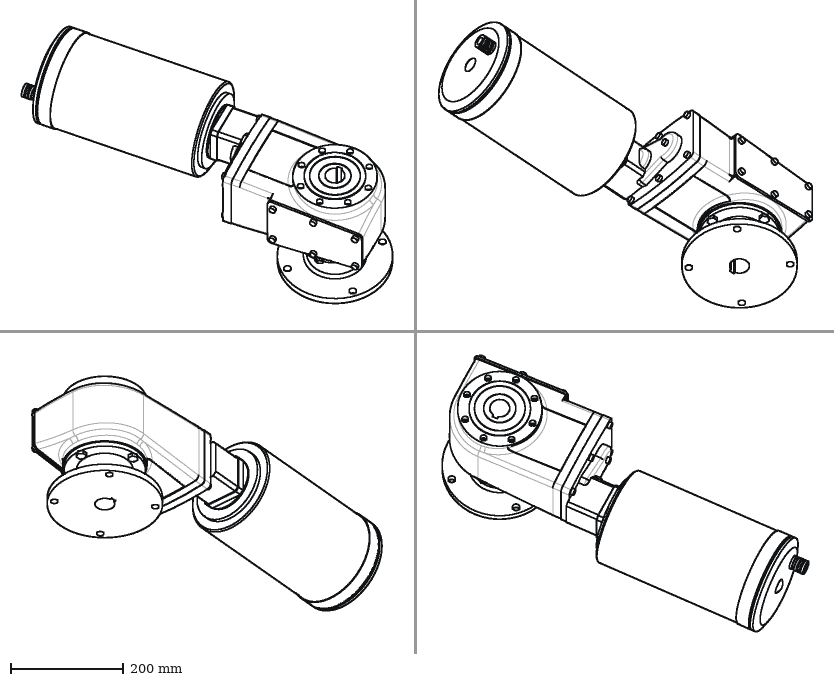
import cadquery as cq
import math

TOLERANCE = 1.0
CLEARANCE = 7.0


TOTAL_LENGTH = 717.0
FLANGE_D = 206.0

MOTOR_Y = 67.5
CAP_D = 182.0
BODY_D = 179.0
END_FACE_D = 150.5
CAP_X0 = -587.0
CAP_BEVEL = 6.5
CAP_X1 = -547.0
BODY_X1 = -267.5
GROOVE_X = -575.0
GROOVE_WIDTH = 3.0
GROOVE_DEPTH = 2.0
FRONT_BEVEL = 3.0
FRONT_RING_D = 140.5
FRONT_RING_X1 = -259.5
COLLAR_D = 100.5
COLLAR_X1 = -257.0

DOME_D = 27.0
DOME_HEIGHT = 6.0
CONNECTOR_Y = 13.0
CONNECTOR_TIP_X = FLANGE_D / 2 - TOTAL_LENGTH
CONNECTOR_D = 25.0
CONNECTOR_NECK_D = 19.5
CONNECTOR_NECK_LENGTH = 4.0
CONNECTOR_BASE_LENGTH = 4.0
CONNECTOR_SOCKET_D = 14.0
CONNECTOR_SOCKET_DEPTH = 7.0
CONNECTOR_GROOVE_WIDTH = 2.0
CONNECTOR_GROOVE_DEPTH = 1.5

ADAPTER_SIDE = 74.5
ADAPTER_CHAMFER = 6.5
ADAPTER_FLANGE_SIDE = 78.0
ADAPTER_FLANGE_X1 = -244.5

DROP_X0 = -200.0
DROP_BIG_R = 44.5
DROP_BIG_Y = 31.5
DROP_SMALL_R = 29.0
DROP_SMALL_Y = -20.0
DROP_ROUND = 6.0
BOSS_D = 50.0
BOSS_Y = 39.5
BOSS_LENGTH = 13.5
BOSS_ROUND = 7.0
DROP_SCREW_Y = -26.0

HOUSING_X0 = -183.5
HOUSING_SIDE_Y = 92.0
HOUSING_ROUND_R = 89.5
HOUSING_X1 = 92.0
HOUSING_Y0 = -78.0
FOOT_X0 = -89.0
FOOT_Y0 = -86.0
FOOT_COVE_R = 7.0
FOOT_COVE_Z = 49.0
RIDGE_Y = 8.5
RIDGE_Z = 65.0
LID_X1 = -167.0
LID_MARGIN = 1.0
PLATE_X1 = -150.5
TOP_SLOPE = 3.7
CROWN_EDGE_Z = 56.0
CROWN_HALF_WIDTH = 100.5
HOUSING_EDGE_R = 8.5
PANEL_X0 = PLATE_X1
PANEL_Y0 = -43.0
PANEL_Y1 = 60.0
PANEL_DEPTH = 2.0

COVER_Y0 = -90.0
COVER_X0 = -91.0
COVER_X1 = 93.0
COVER_Z0 = 56.0
COVER_Z1 = 45.0
COVER_CORNER_R = 8.5

SCREW_D = 11.5
SCREW_HEAD = 6.0
COVER_SCREWS_XZ = [(-79.5, 40.0), (0, 42.0), (82.0, 36.5)]
LID_SCREWS_YZ = [(83.0, 51.5), (8.5, 54.5), (-66.0, 51.5)]

DISC_D = 150.5
DISC_Z = 71.0
DISC_ROOT_R = 8.5
SPIGOT_D = 110.0
SPIGOT_HEIGHT = 2.0
SEAL_D = 90.0
HUB_D = 57.5
SEAL_DEPTH = 1.5
BORE_D = 35.0
KEYWAY_WIDTH = 10.0
KEYWAY_Y = 21.0
DISC_HOLE_CIRCLE_D = 130.5
DISC_HOLE_D = 11.5
DISC_HOLE_DEPTH = 11.0
DRILL_D = 6.7
DRILL_DEPTH = 16.0
DISC_HOLE_COUNT = 8
LOWER_RING_D = 145.0
LOWER_RING_Z = -80.0
HEX_HEAD_D = 19.0
HEX_HEAD_HEIGHT = 6.5
HEX_HEAD_COUNT = 4

TUBE_D = 101.0
FLANGE_Z0 = -155.5
FLANGE_THICKNESS = 13.5
TUBE_BASE_FLARE = 6.0
FLANGE_HOLE_CIRCLE_D = 181.0
FLANGE_HOLE_D = 13.0
FLANGE_HOLE_COUNT = 4
FLANGE_HOLE_ANGLE = 45


def rod_x(diameter, x0, x1, y=MOTOR_Y):
    """Cylinder along X."""
    return cq.Workplane("YZ", origin=(x0, y, 0)).circle(diameter / 2).extrude(x1 - x0)


def rod_z(diameter, z0, z1):
    """Cylinder along the output axis."""
    return cq.Workplane("XY", origin=(0, 0, z0)).circle(diameter / 2).extrude(z1 - z0)


def pin_circle(circle_d, pin_d, count, z0, height, start_angle=0):
    """Ring of equal cylinders along Z around the output axis."""
    centers = cq.Workplane("XY", origin=(0, 0, z0)).polarArray(circle_d / 2, start_angle, 360, count)
    return centers.circle(pin_d / 2).extrude(height)


def ring_x(outer_d, inner_d, x, width, y=MOTOR_Y):
    """Ring around an axis parallel to X, used to cut a groove."""
    profile = cq.Workplane("YZ", origin=(x, y, 0)).circle(outer_d / 2).circle(inner_d / 2)
    return profile.extrude(width)


def make_motor():
    """Round motor with a bevelled, grooved end cap and a stepped front."""
    cap = rod_x(CAP_D, CAP_X0, CAP_X1)
    radial = (CAP_D - END_FACE_D) / 2
    cap = cap.faces("<X").chamfer(CAP_BEVEL, radial)
    cap = cap.cut(ring_x(CAP_D + CLEARANCE, CAP_D - 2 * GROOVE_DEPTH, GROOVE_X, GROOVE_WIDTH))
    body = rod_x(BODY_D, CAP_X1, BODY_X1).faces(">X").chamfer(FRONT_BEVEL)
    front_ring = rod_x(FRONT_RING_D, BODY_X1, FRONT_RING_X1)
    collar = rod_x(COLLAR_D, FRONT_RING_X1, COLLAR_X1)
    return cap.union(body).union(front_ring).union(collar)


def make_dome():
    """Domed plug in the middle of the motor end face."""
    radius = (DOME_D ** 2 / 4 + DOME_HEIGHT ** 2) / (2 * DOME_HEIGHT)
    ball = cq.Workplane("XY", origin=(CAP_X0 - DOME_HEIGHT + radius, MOTOR_Y, 0)).sphere(radius)
    return ball.intersect(rod_x(DOME_D, CAP_X0 - DOME_HEIGHT, CAP_X0 + DOME_HEIGHT))


def make_connector():
    """Cable connector with two grooves and an open socket."""
    base_x = CAP_X0 - CONNECTOR_BASE_LENGTH
    plug_x = base_x - CONNECTOR_NECK_LENGTH
    plug = rod_x(CONNECTOR_D, CONNECTOR_TIP_X, plug_x, CONNECTOR_Y)
    groove_floor_d = CONNECTOR_D - 2 * CONNECTOR_GROOVE_DEPTH
    for share in (1 / 3, 2 / 3):
        x = CONNECTOR_TIP_X + share * (plug_x - CONNECTOR_TIP_X) - CONNECTOR_GROOVE_WIDTH / 2
        cutter_d = CONNECTOR_D + CLEARANCE
        plug = plug.cut(ring_x(cutter_d, groove_floor_d, x, CONNECTOR_GROOVE_WIDTH, CONNECTOR_Y))
    neck = rod_x(CONNECTOR_NECK_D, plug_x, base_x, CONNECTOR_Y)
    base = rod_x(CONNECTOR_D, base_x, CAP_X0, CONNECTOR_Y)
    socket_end_x = CONNECTOR_TIP_X + CONNECTOR_SOCKET_DEPTH
    socket = rod_x(CONNECTOR_SOCKET_D, CONNECTOR_TIP_X, socket_end_x, CONNECTOR_Y)
    return plug.union(neck).union(base).cut(socket)


def square_bar(side, x0, x1):
    """Square bar along the motor axis with bevelled long edges."""
    bar = cq.Workplane("YZ", origin=(x0, MOTOR_Y, 0)).rect(side, side).extrude(x1 - x0)
    return bar.edges("|X").chamfer(ADAPTER_CHAMFER)


def make_adapter():
    """Square block between the motor and the gear housing."""
    flange = square_bar(ADAPTER_FLANGE_SIDE, COLLAR_X1, ADAPTER_FLANGE_X1)
    block = square_bar(ADAPTER_SIDE, COLLAR_X1, HOUSING_X0)
    return flange.union(block)


def make_input_cover():
    """Tear-drop cover with a round boss and a screw."""
    span = DROP_BIG_Y - DROP_SMALL_Y
    sine = (DROP_BIG_R - DROP_SMALL_R) / span
    cosine = math.sqrt(1 - sine ** 2)
    big_y = DROP_BIG_Y + DROP_BIG_R * sine
    big_z = DROP_BIG_R * cosine
    small_y = DROP_SMALL_Y + DROP_SMALL_R * sine
    small_z = DROP_SMALL_R * cosine
    cover = (
        cq.Workplane("YZ", origin=(DROP_X0, 0, 0))
        .moveTo(big_y, big_z)
        .lineTo(small_y, small_z)
        .threePointArc((DROP_SMALL_Y - DROP_SMALL_R, 0), (small_y, -small_z))
        .lineTo(big_y, -big_z)
        .threePointArc((DROP_BIG_Y + DROP_BIG_R, 0), (big_y, big_z))
        .close()
        .extrude(HOUSING_X0 - DROP_X0)
        .faces("<X").edges().fillet(DROP_ROUND)
    )
    boss = rod_x(BOSS_D, DROP_X0 - BOSS_LENGTH, DROP_X0, BOSS_Y).faces("<X").edges().fillet(BOSS_ROUND)
    screw = rod_x(SCREW_D, DROP_X0 - SCREW_HEAD, DROP_X0, DROP_SCREW_Y)
    return cover.union(boss).union(screw)


def make_crown_bar(x0, length):
    """Bar along X with a gently arched top."""
    return (
        cq.Workplane("YZ", origin=(x0, 0, 0))
        .moveTo(RIDGE_Y + CROWN_HALF_WIDTH, CROWN_EDGE_Z)
        .threePointArc((RIDGE_Y, RIDGE_Z), (RIDGE_Y - CROWN_HALF_WIDTH, CROWN_EDGE_Z))
        .lineTo(RIDGE_Y - CROWN_HALF_WIDTH, -2 * RIDGE_Z)
        .lineTo(RIDGE_Y + CROWN_HALF_WIDTH, -2 * RIDGE_Z)
        .close()
        .extrude(length)
    )


def make_end_slab(x0, x1, margin):
    """Level arched slab at the motor end, standing out all round by the margin."""
    crown = make_crown_bar(x0, x1 - x0).translate((0, 0, margin))
    plan = (
        cq.Workplane("XY", origin=((x0 + x1) / 2, (HOUSING_Y0 + HOUSING_SIDE_Y) / 2, 0))
        .box(x1 - x0, HOUSING_SIDE_Y - HOUSING_Y0 + 2 * margin, 2 * (RIDGE_Z + margin))
    )
    slab = plan.intersect(crown).intersect(crown.mirror("XY"))
    return slab.edges("|X").fillet(HOUSING_EDGE_R)


def make_end_plate():
    """Thin lid and the level slab behind it."""
    lid = make_end_slab(HOUSING_X0, LID_X1, LID_MARGIN)
    return lid.union(make_end_slab(LID_X1, PLATE_X1, 0))


def make_body():
    """Tapering housing with rounded rims and the two output discs."""
    arc_mid = HOUSING_ROUND_R * math.sqrt(0.5)
    plan = (
        cq.Workplane("XY", origin=(0, 0, -RIDGE_Z))
        .moveTo(PLATE_X1, HOUSING_SIDE_Y)
        .lineTo(0, HOUSING_ROUND_R)
        .threePointArc((arc_mid, arc_mid), (HOUSING_ROUND_R, 0))
        .lineTo(HOUSING_X1, FOOT_Y0)
        .lineTo(FOOT_X0, FOOT_Y0)
        .lineTo(FOOT_X0, HOUSING_Y0)
        .lineTo(PLATE_X1, HOUSING_Y0)
        .close()
        .extrude(2 * RIDGE_Z)
    )
    crown = make_crown_bar(PLATE_X1, 2 * (HOUSING_X1 - PLATE_X1))
    crown = crown.rotate((PLATE_X1, 0, RIDGE_Z), (PLATE_X1, 1, RIDGE_Z), TOP_SLOPE)
    body = plan.intersect(crown).intersect(crown.mirror("XY"))
    rims = body.edges("not |Z").edges("not (<X or <Y)")
    rims = rims.filter(lambda edge: abs(edge.Center().x - FOOT_X0) > TOLERANCE)
    body = rims.fillet(HOUSING_EDGE_R)
    body = body.union(rod_z(DISC_D, -DISC_Z, DISC_Z))
    reach = DISC_D / 2 + TOLERANCE
    near_disc = (reach, reach, DISC_Z - TOLERANCE)
    disc_roots = body.edges(cq.selectors.BoxSelector([-v for v in near_disc], near_disc, boundingbox=True))
    body = disc_roots.fillet(DISC_ROOT_R)
    return body.union(make_foot_cove()).cut(make_panel_recesses(body))


def make_foot_cove():
    """Concave blend in the corner between the housing side and the foot."""
    return (
        cq.Workplane("XY", origin=(0, 0, -FOOT_COVE_Z))
        .moveTo(FOOT_X0, HOUSING_Y0)
        .lineTo(FOOT_X0, HOUSING_Y0 - FOOT_COVE_R)
        .radiusArc((FOOT_X0 - FOOT_COVE_R, HOUSING_Y0), -FOOT_COVE_R)
        .close()
        .extrude(2 * FOOT_COVE_Z)
    )


def make_panel_recesses(solid):
    """Shallow panels that follow the sloped top and bottom faces of the housing."""
    center = (PANEL_X0 / 2, (PANEL_Y0 + PANEL_Y1) / 2, 0)
    prism = cq.Workplane("XY", origin=center).box(-PANEL_X0, PANEL_Y1 - PANEL_Y0, 2 * RIDGE_Z)
    core = solid.translate((0, 0, PANEL_DEPTH)).intersect(solid.translate((0, 0, -PANEL_DEPTH)))
    return prism.cut(core)


def screw_heads(face, places, height):
    """Round heads at the given places and at their mirror images below mid height."""
    positions = [(u, side * z) for u, z in places for side in (1, -1)]
    return face.pushPoints(positions).circle(SCREW_D / 2).extrude(height)


def make_side_cover():
    """Tapering cover plate with its screws."""
    plate = (
        cq.Workplane("XZ", origin=(0, FOOT_Y0, 0))
        .moveTo(COVER_X0, COVER_Z0)
        .lineTo(COVER_X1, COVER_Z1)
        .lineTo(COVER_X1, -COVER_Z1)
        .lineTo(COVER_X0, -COVER_Z0)
        .close()
        .extrude(FOOT_Y0 - COVER_Y0)
        .edges("|Y").fillet(COVER_CORNER_R)
    )
    face = cq.Workplane("XZ", origin=(0, COVER_Y0, 0))
    return plate.union(screw_heads(face, COVER_SCREWS_XZ, SCREW_HEAD))


def make_lid_screws():
    """Screw heads on the motor-end lid."""
    face = cq.Workplane("YZ", origin=(HOUSING_X0, 0, 0))
    return screw_heads(face, LID_SCREWS_YZ, -SCREW_HEAD)


def make_output():
    """Spigot on top and the bolted ring below."""
    spigot = rod_z(SPIGOT_D, 0, DISC_Z + SPIGOT_HEIGHT)
    lower = rod_z(LOWER_RING_D, LOWER_RING_Z, 0)
    heads = (
        cq.Workplane("XY", origin=(0, 0, LOWER_RING_Z))
        .polarArray(DISC_HOLE_CIRCLE_D / 2, 0, 360, HEX_HEAD_COUNT)
        .polygon(6, HEX_HEAD_D)
        .extrude(-HEX_HEAD_HEIGHT)
    )
    return spigot.union(lower).union(heads)


def make_pedestal():
    """Tube with a flared base on a drilled round flange."""
    flange_top = FLANGE_Z0 + FLANGE_THICKNESS
    tube = rod_z(TUBE_D, FLANGE_Z0, 0)
    flare = (
        cq.Workplane("XY", origin=(0, 0, flange_top))
        .circle(TUBE_D / 2 + TUBE_BASE_FLARE)
        .extrude(TUBE_BASE_FLARE, taper=45)
    )
    flange = rod_z(FLANGE_D, FLANGE_Z0, flange_top)
    holes = pin_circle(
        FLANGE_HOLE_CIRCLE_D, FLANGE_HOLE_D, FLANGE_HOLE_COUNT,
        FLANGE_Z0, FLANGE_THICKNESS, FLANGE_HOLE_ANGLE,
    )
    return tube.union(flare).union(flange).cut(holes)


def make_output_cuts():
    """Keyed through bore, seal recess and the stepped screw holes on top."""
    top = DISC_Z + SPIGOT_HEIGHT
    bore = rod_z(BORE_D, FLANGE_Z0, top)
    keyway = (
        cq.Workplane("XY", origin=(0, KEYWAY_Y / 2, FLANGE_Z0))
        .rect(KEYWAY_WIDTH, KEYWAY_Y)
        .extrude(top - FLANGE_Z0)
    )
    seal = rod_z(SEAL_D, top - SEAL_DEPTH, top).cut(rod_z(HUB_D, top - SEAL_DEPTH, top))
    holes = pin_circle(DISC_HOLE_CIRCLE_D, DISC_HOLE_D, DISC_HOLE_COUNT, DISC_Z, -DISC_HOLE_DEPTH)
    drill_points = pin_circle(DISC_HOLE_CIRCLE_D, DRILL_D, DISC_HOLE_COUNT, DISC_Z, -DRILL_DEPTH)
    return bore.union(keyway).union(seal).union(holes).union(drill_points)


result = make_body()
for piece in (
    make_end_plate(),
    make_motor(),
    make_dome(),
    make_connector(),
    make_adapter(),
    make_input_cover(),
    make_side_cover(),
    make_lid_screws(),
    make_output(),
    make_pedestal(),
):
    result = result.union(piece)
result = result.cut(make_output_cuts())